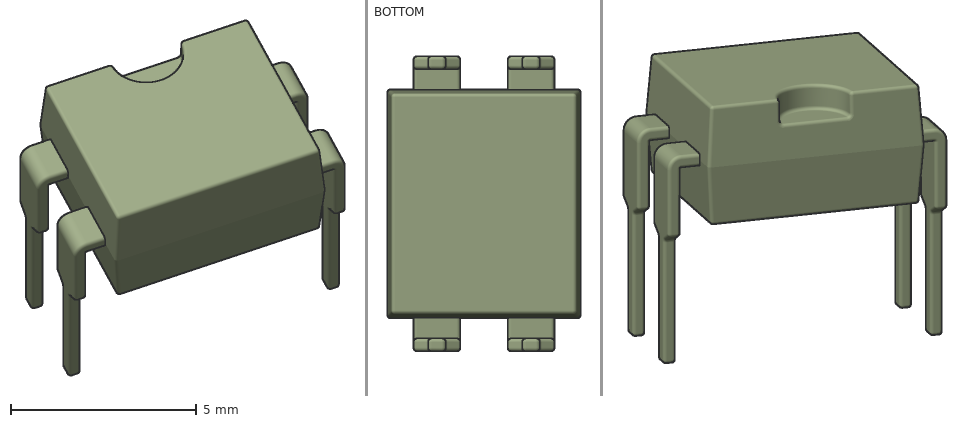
import cadquery as cq
import math

HOUSING_WIDTH = 5.23
HOUSING_LENGTH = 6.185
HALF_HEIGHT = 1.68
DRAFT_ANGLE = 4
EDGE_RADIUS = 0.1

NOTCH_RADIUS = 1.005
NOTCH_DEPTH = 0.7

LEAD_SPAN = 7.97
LEAD_PITCH = 2.54
LEAD_THICKNESS = 0.35
BEND_INNER_RADIUS = 0.02
SHOULDER_WIDTH = 1.27
TIP_WIDTH = 0.48
SHOULDER_Z = -2.08
SHOULDER_SLOPE = 30
OVERALL_HEIGHT = 7.5
TIP_Z = HALF_HEIGHT - OVERALL_HEIGHT

DRAFT_INSET = HALF_HEIGHT * math.tan(math.radians(DRAFT_ANGLE))
NOTCH_CENTER_X = DRAFT_INSET - HOUSING_WIDTH / 2
NOTCH_FLOOR_Z = HALF_HEIGHT - NOTCH_DEPTH
TOLERANCE = 0.001


def housing_half(direction):
    """Drafted block from the parting plane up (direction 1) or down (-1)."""
    return (
        cq.Workplane("XY")
        .rect(HOUSING_WIDTH, HOUSING_LENGTH)
        .extrude(direction * HALF_HEIGHT, taper=DRAFT_ANGLE)
    )


def is_on_parting_plane(edge):
    return abs(edge.Center().z) < TOLERANCE


def make_housing():
    blank = housing_half(1).union(housing_half(-1))
    notch = (
        cq.Workplane("XY", origin=(NOTCH_CENTER_X, 0, NOTCH_FLOOR_Z))
        .circle(NOTCH_RADIUS)
        .extrude(NOTCH_DEPTH)
    )
    body = blank.cut(notch).solids().val()

    rounded_edges = [edge for edge in body.Edges() if not is_on_parting_plane(edge)]
    return body.fillet(EDGE_RADIUS, rounded_edges).Solids()[0]


def lead_side_profile():
    """Bent strip in the YZ plane on the -Y side, running out of the housing and down to the tip."""
    root_y = -HOUSING_LENGTH / 2 + LEAD_THICKNESS
    outer_y = -LEAD_SPAN / 2
    inner_y = outer_y + LEAD_THICKNESS
    top_z = LEAD_THICKNESS / 2
    under_z = -LEAD_THICKNESS / 2
    outer_radius = BEND_INNER_RADIUS + LEAD_THICKNESS
    return (
        cq.Workplane("YZ")
        .moveTo(root_y, top_z)
        .lineTo(outer_y + outer_radius, top_z)
        .radiusArc((outer_y, top_z - outer_radius), -outer_radius)
        .lineTo(outer_y, TIP_Z)
        .lineTo(inner_y, TIP_Z)
        .lineTo(inner_y, under_z - BEND_INNER_RADIUS)
        .radiusArc((inner_y + BEND_INNER_RADIUS, under_z), BEND_INNER_RADIUS)
        .lineTo(root_y, under_z)
        .close()
    )


def lead_front_profile():
    """Outline in the XZ plane: a wide shoulder narrowing to the tip."""
    shoulder_x = SHOULDER_WIDTH / 2
    tip_x = TIP_WIDTH / 2
    neck_z = SHOULDER_Z - (shoulder_x - tip_x) * math.tan(math.radians(SHOULDER_SLOPE))
    right_side = [(shoulder_x, LEAD_THICKNESS), (shoulder_x, SHOULDER_Z), (tip_x, neck_z), (tip_x, TIP_Z)]
    left_side = [(-x, z) for x, z in reversed(right_side)]
    return cq.Workplane("XZ").polyline(right_side + left_side).close()


def make_lead(housing):
    """One lead on the -Y side, centred on X = 0 and butting against the housing wall."""
    strip = lead_side_profile().extrude(SHOULDER_WIDTH / 2, both=True)
    outline = lead_front_profile().extrude(LEAD_SPAN)
    rounded = strip.intersect(outline).edges().fillet(EDGE_RADIUS)
    return rounded.cut(cq.Workplane(housing)).solids().val()


def place_leads(lead):
    """Two leads on each long side; the +Y pair is the -Y pair turned half a revolution."""
    leads = []
    for turn in (0, 180):
        for x in (-LEAD_PITCH / 2, LEAD_PITCH / 2):
            shifted = lead.translate(cq.Vector(x, 0, 0))
            leads.append(shifted.rotate(cq.Vector(0, 0, 0), cq.Vector(0, 0, 1), turn))
    return leads


housing = make_housing()
leads = place_leads(make_lead(housing))
result = cq.Compound.makeCompound([housing, *leads])